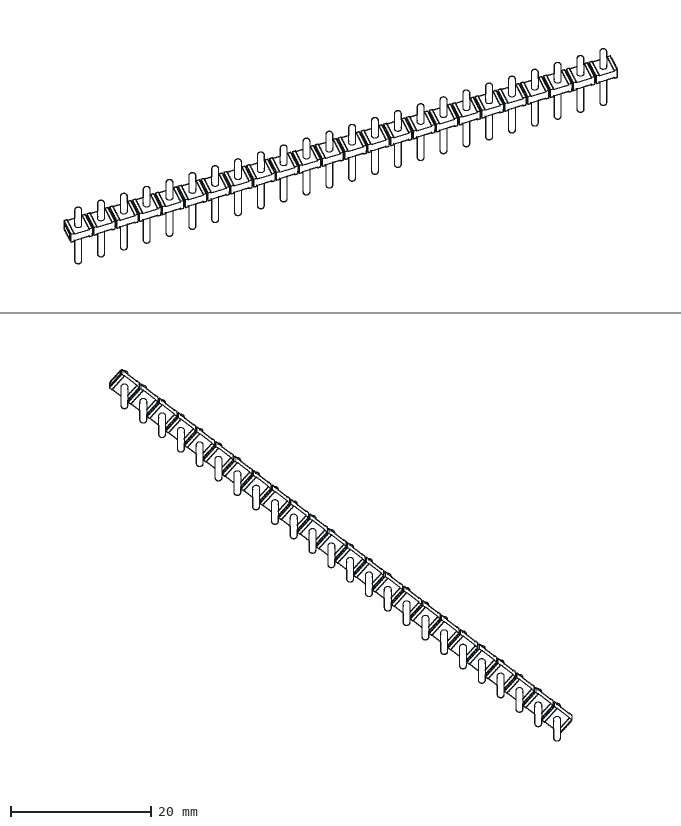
import cadquery as cq

pin_count = 24
strip_length = 84.0
strip_width = 2.8
strip_height = 1.8
pitch = strip_length / pin_count

neck_gap = 0.25
neck_inset = 0.25
shoulder_length = 0.47
block_length = pitch - neck_gap
core_length = block_length - 2 * shoulder_length
core_inset = 0.2

pin_length = 12.0
pin_above_housing = 3.5
pin_radius = 0.5
tip_fillet = 0.46


def stage(length, side_inset, height_inset):
    """A block centred on the pin, set in from the sides and from the top and bottom of the strip."""
    return cq.Workplane("XY").box(strip_width - 2 * side_inset, length, strip_height - 2 * height_inset)


def segment():
    """One housing position with stand-off shoulders above and below its core."""
    shoulders = stage(block_length, 0, 0).cut(stage(core_length, 0, 0))
    core = stage(core_length, 0, core_inset)
    necks = stage(pitch, neck_inset, neck_inset)
    return core.union(shoulders).union(necks)


def pin():
    """A round pin with both ends rounded over."""
    bottom = strip_height / 2 + pin_above_housing - pin_length
    return (
        cq.Workplane("XY", origin=(0, 0, bottom))
        .circle(pin_radius)
        .extrude(pin_length)
        .faces("<Z or >Z")
        .edges()
        .fillet(tip_fillet)
    )


position = segment().union(pin())
pin_places = [(index + 0.5) * pitch - strip_length / 2 for index in range(pin_count)]
copies = [position.translate((0, place, 0)).val() for place in pin_places]
result = cq.Workplane(copies[0].fuse(*copies[1:]).clean())